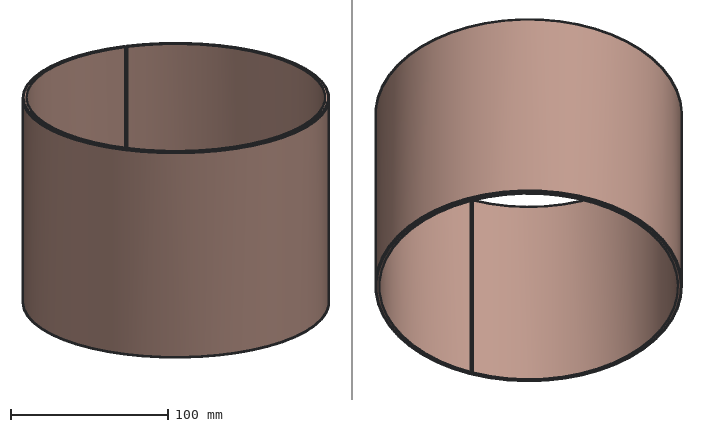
import cadquery as cq

outer_diameter = 195.0
wall = 2.5
height = 140.0
rim_chamfer = 0.5

slit_angle = 0.9

outer_radius = outer_diameter / 2
inner_radius = outer_radius - wall
rim_radius = outer_radius - rim_chamfer

wall_section = (
    cq.Workplane("XZ")
    .moveTo(-inner_radius, 0)
    .lineTo(-rim_radius, 0)
    .lineTo(-outer_radius, rim_chamfer)
    .lineTo(-outer_radius, height - rim_chamfer)
    .lineTo(-rim_radius, height)
    .lineTo(-inner_radius, height)
    .close()
)

result = wall_section.revolve(360 - slit_angle, (0, 0, 0), (0, 1, 0))